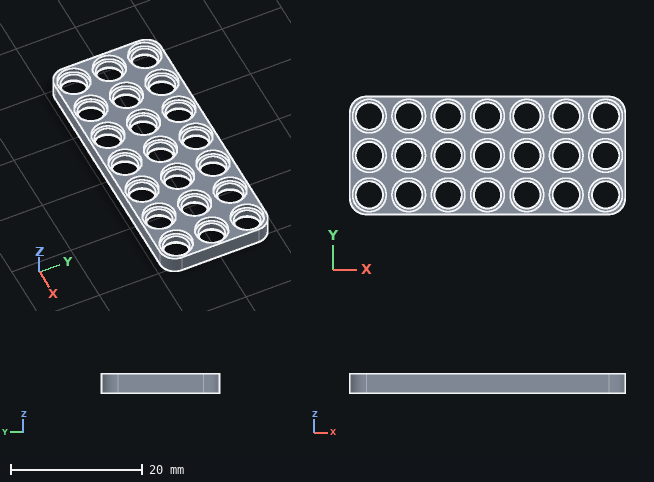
import cadquery as cq

columns = 7
rows = 3
length = 42.0
pitch = length / columns
width = rows * pitch
thickness = pitch / 2
corner_radius = 2.5

bore_diameter = 4.1
recess_diameter = 5.12
recess_depth = 0.85


def rounded_plate():
    """Flat plate with rounded vertical corners, resting on Z = 0."""
    plate = cq.Workplane("XY").box(length, width, thickness, centered=(True, True, False))
    return plate.edges("|Z").fillet(corner_radius)


def cylinder_grid(diameter, height, bottom):
    """One upright cylinder at the centre of every cell, starting at Z = bottom."""
    return (
        cq.Workplane("XY", origin=(0, 0, bottom))
        .rarray(pitch, pitch, columns, rows)
        .circle(diameter / 2)
        .extrude(height)
    )


bores = cylinder_grid(bore_diameter, thickness, 0)
bottom_recesses = cylinder_grid(recess_diameter, recess_depth, 0)
top_recesses = cylinder_grid(recess_diameter, recess_depth, thickness - recess_depth)

result = rounded_plate().cut(bores).cut(bottom_recesses).cut(top_recesses)